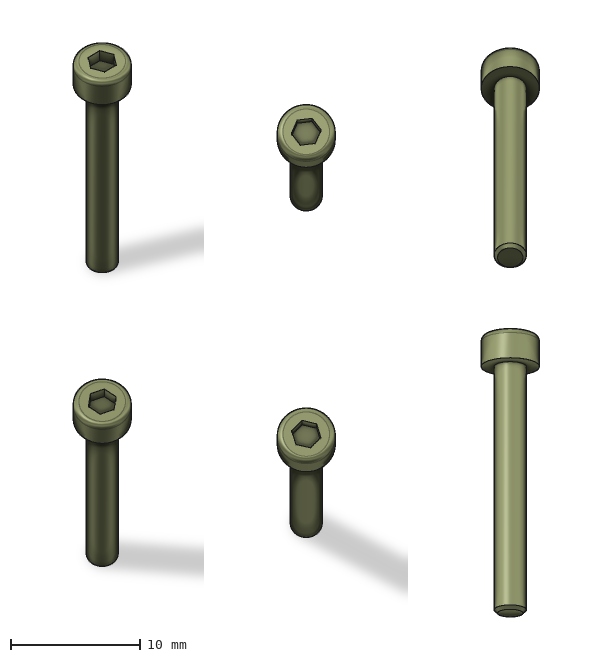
import cadquery as cq
import math

total_length = 22.5
head_diameter = 4.5
head_height = 2.5
head_fillet = 0.45
shank_diameter = 2.5
shank_length = total_length - head_height
tip_chamfer = 0.27
socket_across_flats = 2.0
socket_depth = 1.1


def make_head():
    """Cylindrical head with a rounded top edge."""
    head = cq.Workplane("XY").circle(head_diameter / 2).extrude(head_height)
    return head.faces(">Z").edges().fillet(head_fillet)


def make_shank():
    """Plain shank below the head with a chamfered tip."""
    shank = cq.Workplane("XY").circle(shank_diameter / 2).extrude(-shank_length)
    return shank.faces("<Z").edges().chamfer(tip_chamfer)


def make_socket():
    """Hexagonal drive recess with two corners on the X axis."""
    across_corners = socket_across_flats / math.cos(math.pi / 6)
    top = cq.Workplane("XY").workplane(offset=head_height)
    return top.polygon(6, across_corners).extrude(-socket_depth)


result = make_head().union(make_shank()).cut(make_socket())